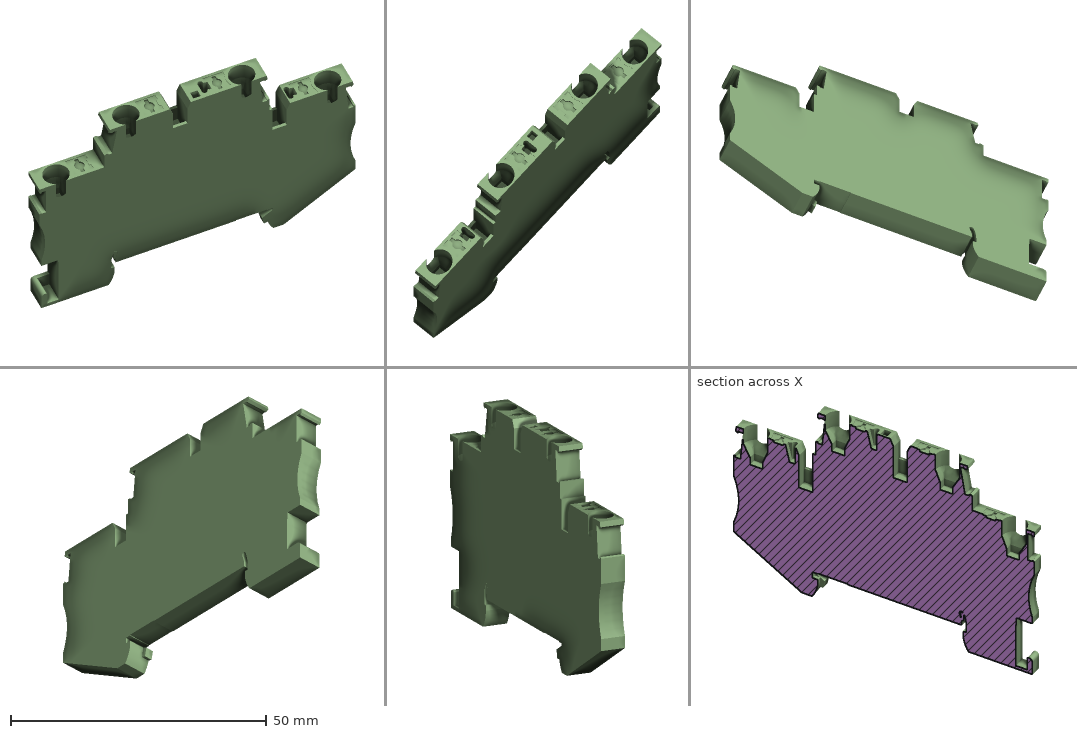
import cadquery as cq
import math

THICKNESS = 5.2
LENGTH = 68.15
HEIGHT = 45.85
HALF_LENGTH = LENGTH / 2
HALF_THICKNESS = THICKNESS / 2
LOW_DECK = 35.4
LABEL_LEDGE = 28.0
STEP_PLUS = 15.55
STEP_MINUS = -20.1
NECK_MINUS = -32.65
RAIL_SEAT = 6.0

ENTRY_OFFSET = 0.3
ENTRY_RADIUS_X = 2.5
ENTRY_RADIUS_Y = 2.7
ENTRY_STRAIGHT = 3.75
TAPER_DEPTH = 2.7
CLAMP_WIDTH = 3.0
CLAMP_LENGTH = 2.8
CLAMP_SHIFT = 0.2
ENTRY_DEPTH = 8.2
OUTER_ENTRY_PLUS = 29.1
INNER_ENTRY_PLUS = 10.55
INNER_ENTRY_MINUS = -14.4
OUTER_ENTRY_MINUS = -29.45

BUTTON_SPACING = 5.2
BUTTON_WIDTH = 4.0
BUTTON_LENGTH = 4.35
BUTTON_RECESS = 0.15
COLLAR = 0.6
NOTCH_WIDTH = 1.65
NOTCH_LENGTH = 0.4
CROSS_WIDTH = 3.55
CROSS_GAP = 0.8
CROSS_RADIUS = 1.0
CROSS_DEPTH = 0.55

SOCKET_SPACING = 8.3
SOCKET_WIDTH = 3.2
SOCKET_LENGTH = 1.15
SOCKET_DEPTH = 4.1
LEAD_IN_WIDTH = 1.9
LEAD_IN_LENGTH = 0.95

MARKER_SIDE = 1.6
MARKER_X = 1.15
MARKER_Y = 0.2
MARKER_DEPTH = 2.05

BRIDGE_WIDTH = 3.1
BRIDGE_CHAMFER_WIDTH = 0.75
BRIDGE_CHAMFER_HEIGHT = 1.7
LOW_BRIDGE_Y = 16.15
HIGH_BRIDGE_Y = -5.25
LOW_BRIDGE_FLOOR = 29.25
HIGH_BRIDGE_FLOOR = 39.95
BRIDGE_POCKET_WIDTH = 3.9
BRIDGE_POCKET_DEPTH = 3.4

FOOT_END = -33.7
FOOT_TOE_HEIGHT = 3.9
FOOT_TOE_RADIUS = 0.8
SEAT_RELIEF = 0.15
SEAT_RELIEF_START = 15.0
SEAT_RELIEF_END = 8.25
JAW_TOP = 4.7
CATCH_WALL = 16.15
FOOT_TIP = 14.9
JAW_TIP = -17.85
SLIT_INNER = -17.65
SLIT_OUTER = -18.6
SIDE_SKIN = 0.8
CATCH_SETBACK = 3.4
TOE_POCKET_DEPTH = 3.1
TOE_LIP_INNER_RADIUS = 0.5
RECESS_TOP = 12.55
RECESS_WALL = -29.9


def side_profile():
    """Closed outline in the YZ plane, starting at the low deck on the +Y end."""
    low_slot_far = LOW_BRIDGE_Y + BRIDGE_WIDTH
    high_slot_far = HIGH_BRIDGE_Y + BRIDGE_WIDTH
    low_chamfer = LOW_DECK - BRIDGE_CHAMFER_HEIGHT
    high_chamfer = HEIGHT - BRIDGE_CHAMFER_HEIGHT
    outline = cq.Workplane("YZ").moveTo(low_slot_far + BRIDGE_CHAMFER_WIDTH, LOW_DECK)
    outline = (
        outline.lineTo(33.45, LOW_DECK)
        .lineTo(33.7, 34.3)
        .lineTo(33.1, 33.9)
        .lineTo(32.9, 34.2)
        .lineTo(31.95, 34.2)
        .lineTo(32.6, 27.75)
        .lineTo(33.6, 27.75)
        .lineTo(33.6, 28.2)
        .lineTo(HALF_LENGTH, LABEL_LEDGE)
        .lineTo(HALF_LENGTH, 22.8)
        .threePointArc((33.0, 17.25), (HALF_LENGTH, 11.6))
        .lineTo(HALF_LENGTH, 9.1)
        .lineTo(18.6, 0)
        .lineTo(16.35, 0)
        .threePointArc((15.4, 1.7), (FOOT_TIP, 3.75))
        .lineTo(FOOT_TIP, JAW_TOP)
        .lineTo(CATCH_WALL, JAW_TOP)
        .lineTo(CATCH_WALL, RAIL_SEAT)
    )
    outline = (
        outline.lineTo(SEAT_RELIEF_START, RAIL_SEAT)
        .lineTo(SEAT_RELIEF_START, RAIL_SEAT + SEAT_RELIEF)
        .lineTo(SEAT_RELIEF_END, RAIL_SEAT + SEAT_RELIEF)
        .lineTo(SEAT_RELIEF_END, RAIL_SEAT)
        .lineTo(SLIT_INNER, RAIL_SEAT)
        .lineTo(SLIT_INNER, 7.1)
        .lineTo(-17.1, 8.9)
        .threePointArc((-17.6, 9.35), (-18.05, 9.0))
        .threePointArc((-18.5, 7.55), (SLIT_OUTER, 6.1))
        .lineTo(SLIT_OUTER, JAW_TOP)
        .lineTo(JAW_TIP, JAW_TOP)
        .lineTo(JAW_TIP, 3.6)
        .threePointArc((-18.25, 1.7), (-19.15, 0))
        .lineTo(FOOT_END, 0)
    )
    outline = (
        outline.lineTo(FOOT_END, FOOT_TOE_HEIGHT - FOOT_TOE_RADIUS)
        .radiusArc((FOOT_END + FOOT_TOE_RADIUS, FOOT_TOE_HEIGHT), FOOT_TOE_RADIUS)
        .lineTo(RECESS_WALL, FOOT_TOE_HEIGHT)
        .lineTo(RECESS_WALL, 10.1)
        .lineTo(-30.05, RECESS_TOP)
        .lineTo(FOOT_END, RECESS_TOP)
        .lineTo(FOOT_END, 14.1)
        .threePointArc((-32.85, 18.8), (-HALF_LENGTH, 24.8))
        .lineTo(-HALF_LENGTH, LABEL_LEDGE)
        .lineTo(-33.7, 28.2)
        .lineTo(-33.5, LABEL_LEDGE)
        .lineTo(NECK_MINUS, LABEL_LEDGE)
        .lineTo(NECK_MINUS, 34.35)
        .lineTo(-33.5, 34.35)
        .lineTo(-33.75, 33.95)
        .lineTo(-HALF_LENGTH, 34.35)
        .lineTo(-HALF_LENGTH, LOW_DECK)
    )
    outline = (
        outline.lineTo(STEP_MINUS, LOW_DECK)
        .lineTo(STEP_MINUS, 38.9)
        .lineTo(-19.5, 39.1)
        .lineTo(-19.1, 38.7)
        .lineTo(-18.4, 38.7)
        .lineTo(-17.4, 44.85)
        .lineTo(-18.0, 45.0)
        .lineTo(-18.5, 44.8)
        .lineTo(-19.1, 45.2)
        .lineTo(-18.9, HEIGHT)
    )
    outline = (
        outline.lineTo(HIGH_BRIDGE_Y - BRIDGE_CHAMFER_WIDTH, HEIGHT)
        .lineTo(HIGH_BRIDGE_Y, high_chamfer)
        .lineTo(HIGH_BRIDGE_Y, HIGH_BRIDGE_FLOOR)
        .lineTo(high_slot_far, HIGH_BRIDGE_FLOOR)
        .lineTo(high_slot_far, high_chamfer)
        .lineTo(high_slot_far + BRIDGE_CHAMFER_WIDTH, HEIGHT)
    )
    outline = (
        outline.lineTo(14.9, HEIGHT)
        .lineTo(15.1, 44.85)
        .lineTo(14.6, 44.4)
        .lineTo(14.4, 44.8)
        .lineTo(13.4, 44.7)
        .lineTo(14.05, 38.45)
        .lineTo(15.0, 38.45)
        .lineTo(15.0, 38.7)
        .lineTo(STEP_PLUS, 38.7)
        .lineTo(STEP_PLUS, LOW_DECK)
        .lineTo(LOW_BRIDGE_Y, LOW_DECK)
        .lineTo(LOW_BRIDGE_Y, LOW_BRIDGE_FLOOR)
        .lineTo(low_slot_far, LOW_BRIDGE_FLOOR)
        .lineTo(low_slot_far, low_chamfer)
        .close()
    )
    return outline


def box_below(x, y, top, width, length, depth):
    """Box centred on (x, y) that reaches down from the given height."""
    return cq.Workplane("XY", origin=(x, y, top)).rect(width, length).extrude(-depth)


def cylinder_below(x, y, top, radius, depth):
    return cq.Workplane("XY", origin=(x, y, top)).circle(radius).extrude(-depth)


def oval_below(x, y, top, radius_x, radius_y, depth):
    return cq.Workplane("XY", origin=(x, y, top)).ellipse(radius_x, radius_y).extrude(-depth)


def funnel(y, deck, side):
    """Wire entry: straight oval bore, taper, then the square clamp opening."""
    bore = oval_below(ENTRY_OFFSET, y, deck, ENTRY_RADIUS_X, ENTRY_RADIUS_Y, ENTRY_STRAIGHT)
    clamp_y = y + side * CLAMP_SHIFT
    taper = (
        cq.Workplane("XY", origin=(ENTRY_OFFSET, y, deck - ENTRY_STRAIGHT))
        .ellipse(ENTRY_RADIUS_X, ENTRY_RADIUS_Y)
        .workplane(offset=-TAPER_DEPTH)
        .center(-ENTRY_OFFSET, side * CLAMP_SHIFT)
        .rect(CLAMP_WIDTH, CLAMP_LENGTH)
        .loft(ruled=True)
    )
    clamp = box_below(0, clamp_y, deck, CLAMP_WIDTH, CLAMP_LENGTH, ENTRY_DEPTH)
    return bore.union(taper).union(clamp)


def button(entry_y, deck, side):
    """Recessed push button with its screwdriver slot; side is its Y direction from the funnel."""
    y = entry_y + side * BUTTON_SPACING
    far_edge = y + side * BUTTON_LENGTH / 2
    plate = box_below(0, y, deck, BUTTON_WIDTH, BUTTON_LENGTH, BUTTON_RECESS)
    collar = oval_below(
        ENTRY_OFFSET, entry_y, deck, ENTRY_RADIUS_X + COLLAR, ENTRY_RADIUS_Y + COLLAR, BUTTON_RECESS
    )
    notch = box_below(
        0, far_edge - side * NOTCH_LENGTH / 2, deck, NOTCH_WIDTH, NOTCH_LENGTH, BUTTON_RECESS
    )
    slot = box_below(0, y, deck, CROSS_WIDTH, CROSS_GAP, CROSS_DEPTH)
    centre = cylinder_below(0, y, deck, CROSS_RADIUS, CROSS_DEPTH)
    return plate.cut(collar).cut(notch).union(slot).union(centre)


def test_socket(entry_y, deck):
    """Oblong socket with a sloping lead-in on its +Y side."""
    y = entry_y - SOCKET_SPACING
    socket = (
        cq.Workplane("XY", origin=(0, y, deck))
        .slot2D(SOCKET_WIDTH, SOCKET_LENGTH)
        .extrude(-SOCKET_DEPTH)
    )
    edge = y + SOCKET_LENGTH / 2
    lead_in = (
        cq.Workplane("YZ")
        .moveTo(y, deck)
        .lineTo(edge + LEAD_IN_LENGTH, deck)
        .lineTo(edge, deck - SOCKET_DEPTH)
        .lineTo(y, deck - SOCKET_DEPTH)
        .close()
        .extrude(LEAD_IN_WIDTH / 2, both=True)
    )
    return socket.union(lead_in)


def spring_part(points, setback):
    """Foot part from its YZ outline, starting the given distance behind the -X face."""
    start = cq.Workplane("YZ", origin=(setback - HALF_THICKNESS, 0, 0))
    return start.polyline(points).close().extrude(THICKNESS - setback)


def toe_pocket():
    """Pocket in the toe behind the -X skin; its -Y side rounds into the crest of the lip."""
    lip_crest = FOOT_END + FOOT_TOE_RADIUS
    lip_inside = lip_crest + TOE_LIP_INNER_RADIUS
    shoulder = FOOT_TOE_HEIGHT - TOE_LIP_INNER_RADIUS
    floor = FOOT_TOE_HEIGHT - TOE_POCKET_DEPTH
    diagonal = TOE_LIP_INNER_RADIUS * math.sqrt(0.5)
    return (
        cq.Workplane("YZ", origin=(SIDE_SKIN - HALF_THICKNESS, 0, 0))
        .moveTo(RECESS_WALL, floor)
        .lineTo(lip_inside, floor)
        .lineTo(lip_inside, shoulder)
        .threePointArc((lip_crest + diagonal, shoulder + diagonal), (lip_crest, FOOT_TOE_HEIGHT))
        .lineTo(RECESS_WALL, FOOT_TOE_HEIGHT)
        .close()
        .extrude(THICKNESS - SIDE_SKIN)
    )


housing = side_profile().extrude(HALF_THICKNESS, both=True)

catch = spring_part(
    [(CATCH_WALL, 5.45), (13.9, 4.15), (14.3, 2.3), (15.1, 2.5), (CATCH_WALL, 3.4)],
    CATCH_SETBACK,
)
tongue = spring_part([(-17.1, 9.2), (SLIT_INNER, 7.1), (-18.1, 7.2), (-18.1, 9.2)], SIDE_SKIN)
housing = housing.union(catch).union(tongue)

for entry_y, deck, button_side in (
    (OUTER_ENTRY_PLUS, LOW_DECK, -1),
    (INNER_ENTRY_PLUS, HEIGHT, -1),
    (INNER_ENTRY_MINUS, HEIGHT, 1),
    (OUTER_ENTRY_MINUS, LOW_DECK, 1),
):
    housing = housing.cut(button(entry_y, deck, button_side))
    housing = housing.cut(funnel(entry_y, deck, button_side))

for entry_y, deck in ((OUTER_ENTRY_PLUS, LOW_DECK), (INNER_ENTRY_PLUS, HEIGHT)):
    housing = housing.cut(test_socket(entry_y, deck))

for wall_y, floor in ((LOW_BRIDGE_Y, LOW_BRIDGE_FLOOR), (HIGH_BRIDGE_Y, HIGH_BRIDGE_FLOOR)):
    middle = wall_y + BRIDGE_WIDTH / 2
    housing = housing.cut(
        box_below(0, middle, floor, BRIDGE_POCKET_WIDTH, BRIDGE_WIDTH, BRIDGE_POCKET_DEPTH)
    )

housing = housing.cut(toe_pocket())

result = housing.cut(
    box_below(MARKER_X, MARKER_Y, HEIGHT, MARKER_SIDE, MARKER_SIDE, MARKER_DEPTH)
)